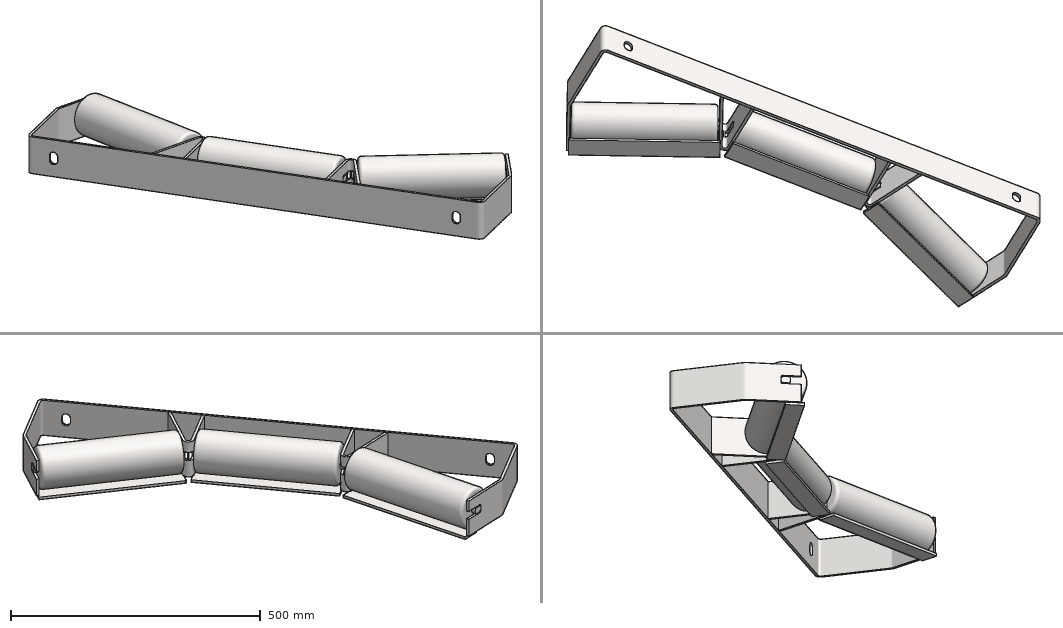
import cadquery as cq
import math

frame_length = 980.0
strip_thickness = 6.0
strip_height = 79.0
bend_outer_radius = 12.0
bend_inner_radius = bend_outer_radius - strip_thickness
arm_bend_outer_radius = 14.0
arm_bend_inner_radius = arm_bend_outer_radius - strip_thickness

tilt_angle = 25.0
support_spacing = 306.0
centre_roller_y = 97.0
bracket_arc_y = 114.0
wing_offset = 22.0
arm_tip_reach = 31.0

roller_radius = 44.6
roller_length = 294.0
roller_end_fillet = 7.0
roller_z = 7.0
shaft_radius = 10.0
shaft_flat_height = 14.0
slot_height = 18.0
slot_corner_radius = 4.0

plate_length = 304.0
plate_width = 38.0
plate_thickness = 6.0

mount_slot_x = 433.0
mount_slot_width = 18.0
mount_slot_height = 26.0

tilt_sin = math.sin(math.radians(tilt_angle))
tilt_cos = math.cos(math.radians(tilt_angle))
half_length = frame_length / 2
bracket_mid_radius = bend_outer_radius - strip_thickness / 2
bracket_arc_x = support_spacing / 2 + bracket_mid_radius
inner_support_along = bracket_arc_x * tilt_cos + bracket_arc_y * tilt_sin + bracket_mid_radius
wing_along = inner_support_along + support_spacing / 2
arm_outer_along = inner_support_along + support_spacing + strip_thickness / 2


def right_wing_point(along, across):
    """Plan point from distances along and square to the right wing axis."""
    return (along * tilt_cos - across * tilt_sin, along * tilt_sin + across * tilt_cos)


wing_centre = right_wing_point(wing_along, wing_offset)
stations = [
    (wing_centre[0], wing_centre[1], tilt_angle),
    (0.0, centre_roller_y, 0.0),
    (-wing_centre[0], wing_centre[1], -tilt_angle),
]


def at_station(workplane, station):
    """Move a shape from the origin, with its axis along X, to a roller station."""
    x, y, angle = station
    return workplane.rotate((0, 0, 0), (0, 0, 1), angle).translate((x, y, 0))


def make_support_slots():
    """Cutters for the slots, open toward +Y, that hold both shaft ends of every roller."""
    slot_depth = 2 * strip_thickness
    slot_length = shaft_radius + roller_radius
    slots = []
    for station in stations:
        for side in (-1, 1):
            slot = (
                cq.Workplane("XY")
                .box(slot_depth, slot_length, slot_height)
                .edges("|X and <Y")
                .fillet(slot_corner_radius)
                .translate((side * support_spacing / 2, (roller_radius - shaft_radius) / 2, roller_z))
            )
            slots.append(at_station(slot, station))
    return slots


def cut_support_slots(body):
    for slot in make_support_slots():
        body = body.cut(slot)
    return body


def make_frame():
    """Back strip with two upright arms whose tips lean inward."""
    bend_y = (arm_outer_along - half_length * tilt_cos) / tilt_sin
    tip_x, tip_y = right_wing_point(arm_outer_along, wing_offset + arm_tip_reach)
    inner_along = arm_outer_along - strip_thickness
    inner_x = half_length - strip_thickness
    inner_bend_y = (inner_along - inner_x * tilt_cos) / tilt_sin
    inner_tip_x, inner_tip_y = right_wing_point(inner_along, wing_offset + arm_tip_reach)

    right_half = [(half_length, 0), (half_length, bend_y), (tip_x, tip_y), (inner_tip_x, inner_tip_y),
                  (inner_x, inner_bend_y), (inner_x, strip_thickness)]
    left_half = [(-x, y) for x, y in reversed(right_half)]
    frame = (
        cq.Workplane("XY")
        .polyline(right_half + left_half)
        .close()
        .extrude(strip_height / 2, both=True)
    )
    for x, y, radius in [
        (half_length, 0, bend_outer_radius),
        (half_length, bend_y, arm_bend_outer_radius),
        (inner_x, strip_thickness, bend_inner_radius),
        (inner_x, inner_bend_y, arm_bend_inner_radius),
    ]:
        for side in (-1, 1):
            frame = frame.edges(cq.selectors.NearestToPointSelector((side * x, y, 0))).fillet(radius)

    mount_slots = (
        cq.Workplane("XZ")
        .pushPoints([(-mount_slot_x, 0), (mount_slot_x, 0)])
        .slot2D(mount_slot_height, mount_slot_width, 90)
        .extrude(-strip_thickness)
    )
    return cut_support_slots(frame.cut(mount_slots))


def bracket_outline(radius):
    """Area under a bracket surface that bends around the bracket top at the given radius."""
    start = (bracket_arc_x - radius, strip_thickness)
    arc_start = (bracket_arc_x - radius, bracket_arc_y)
    half_sweep = math.radians((180 - tilt_angle) / 2)
    middle = (bracket_arc_x - radius * math.cos(half_sweep), bracket_arc_y + radius * math.sin(half_sweep))
    arc_end = (bracket_arc_x + radius * tilt_cos, bracket_arc_y + radius * tilt_sin)
    foot_x = arc_end[0] + (arc_end[1] - strip_thickness) * tilt_sin / tilt_cos
    return (
        cq.Workplane("XY")
        .moveTo(*start)
        .lineTo(*arc_start)
        .threePointArc(middle, arc_end)
        .lineTo(foot_x, strip_thickness)
        .close()
        .extrude(strip_height / 2, both=True)
    )


def make_bracket(side):
    """Folded strip carrying the centre roller on one leg and a wing roller on the other."""
    bracket = bracket_outline(bend_outer_radius).cut(bracket_outline(bend_inner_radius))
    if side < 0:
        bracket = bracket.mirror("YZ")
    return cut_support_slots(bracket)


def make_roller(station):
    """Round drum with a through shaft flattened at both ends."""
    shaft_length = support_spacing + strip_thickness
    drum = (
        cq.Workplane("YZ")
        .circle(roller_radius)
        .extrude(roller_length)
        .edges()
        .fillet(roller_end_fillet)
        .translate((-roller_length / 2, 0, 0))
    )
    shaft = cq.Workplane("YZ").circle(shaft_radius).extrude(shaft_length / 2, both=True)
    flats = cq.Workplane("XY").box(shaft_length, 2 * shaft_radius, shaft_flat_height)
    roller = drum.union(shaft.intersect(flats)).translate((0, 0, roller_z))
    return at_station(roller, station)


def make_base_plate(station):
    """Flat plate with its top level with the strip underside, from the roller axis toward the open side."""
    plate = (
        cq.Workplane("XY")
        .box(plate_length, plate_width, plate_thickness, centered=(True, False, False))
        .translate((0, 0, -strip_height / 2 - plate_thickness))
    )
    return at_station(plate, station)


frame = make_frame()
brackets = [make_bracket(side) for side in (-1, 1)]
rollers = [make_roller(station) for station in stations]
base_plates = [make_base_plate(station) for station in stations]

bodies = [frame, *brackets, *rollers, *base_plates]
result = cq.Compound.makeCompound([body.val() for body in bodies])